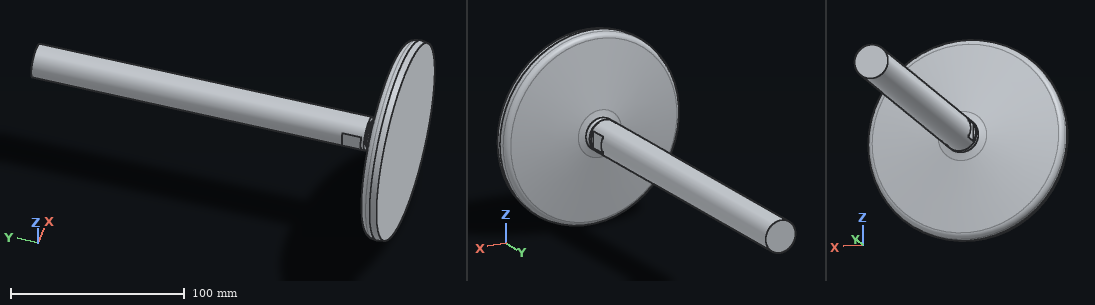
import cadquery as cq
import math

total_length = 222.0

rim_radius = 59.0
base_radius = 58.4
rim_widest_height = 4.0
rim_top_height = 6.7
rim_top_radius = 58.5
shoulder_radius = 55.5
shoulder_height = 10.0
cone_top_radius = 14.5
cone_top_height = 16.9
collar_radius = 10.0
collar_height = 18.2
foot_top_radius = 8.0
foot_top_height = 20.0

stem_radius = 10.0
stem_start = 22.2
neck_top_radius = 6.9
neck_radius = 5.5
lip_radius = 8.7
lip_height = 20.9
lip_bottom_radius = 7.8
ball_radius = 7.0
ball_center_height = 13.3
flat_start = 24.2
flat_end = 35.5
across_flats = 17.0


def revolve_about_y(profile):
    return profile.close().revolve(360, (0, 0, 0), (0, 1, 0))


def make_ball_and_neck():
    """Ball end, neck and the sharp lip that sits on the foot; it also shapes the socket in the foot."""
    neck_joint_height = ball_center_height + math.sqrt(ball_radius**2 - neck_radius**2)
    profile = (
        cq.Workplane("XY")
        .moveTo(0, ball_center_height - ball_radius)
        .threePointArc((ball_radius, ball_center_height), (neck_radius, neck_joint_height))
        .lineTo(neck_radius, foot_top_height)
        .lineTo(lip_bottom_radius, foot_top_height)
        .lineTo(lip_radius, lip_height)
        .lineTo(neck_top_radius, stem_start)
        .lineTo(0, stem_start)
    )
    return revolve_about_y(profile)


def tangent_arc_middle(start, end, line_point):
    """Middle point of the arc from start to end continuing the line through line_point and start."""
    chord_x = end[0] - start[0]
    chord_y = end[1] - start[1]
    line_angle = math.atan2(start[1] - line_point[1], start[0] - line_point[0])
    turn = math.atan2(chord_y, chord_x) - line_angle
    rise_ratio = math.tan(turn / 2) / 2
    middle_x = (start[0] + end[0]) / 2 + rise_ratio * chord_y
    middle_y = (start[1] + end[1]) / 2 - rise_ratio * chord_x
    return (middle_x, middle_y)


def make_foot():
    rim_top = (rim_top_radius, rim_top_height)
    shoulder = (shoulder_radius, shoulder_height)
    cone_top = (cone_top_radius, cone_top_height)
    shoulder_middle = tangent_arc_middle(shoulder, rim_top, cone_top)
    profile = (
        cq.Workplane("XY")
        .lineTo(base_radius, 0)
        .lineTo(rim_radius, rim_widest_height)
        .lineTo(*rim_top)
        .threePointArc(shoulder_middle, shoulder)
        .lineTo(*cone_top)
        .tangentArcPoint((collar_radius, collar_height), relative=False)
        .lineTo(foot_top_radius, foot_top_height)
        .lineTo(0, foot_top_height)
    )
    return revolve_about_y(profile).cut(make_ball_and_neck())


def cut_wrench_flats(stem):
    """Two opposite flats, facing -X and +X."""
    flat_length = flat_end - flat_start
    flat_middle = (flat_start + flat_end) / 2
    for side in (-1, 1):
        cutter = cq.Workplane("XY").box(stem_radius, flat_length, 2 * stem_radius)
        offset = side * (across_flats + stem_radius) / 2
        stem = stem.cut(cutter.translate((offset, flat_middle, 0)))
    return stem


def make_stem():
    profile = (
        cq.Workplane("XY")
        .moveTo(0, stem_start)
        .lineTo(stem_radius, stem_start)
        .lineTo(stem_radius, total_length)
        .lineTo(0, total_length)
    )
    shaft = cut_wrench_flats(revolve_about_y(profile))
    return shaft.union(make_ball_and_neck())


foot = make_foot()
stem = make_stem()

result = cq.Compound.makeCompound([foot.val(), stem.val()])